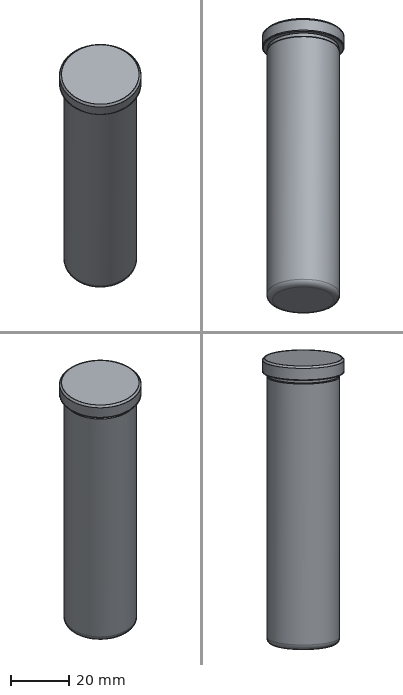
import cadquery as cq

total_length = 100.0
shank_diameter = 25.0
head_diameter = 28.0
head_height = 5.0
head_top_chamfer = 0.7
head_bottom_chamfer = 0.3
groove_width = 1.5
groove_depth = 0.3
tip_fillet = 2.0

shank_radius = shank_diameter / 2
head_radius = head_diameter / 2
groove_radius = shank_radius - groove_depth
bottom = -total_length / 2
top = total_length / 2
head_underside = top - head_height
groove_bottom = head_underside - groove_width

profile = (
    cq.Workplane("XZ")
    .moveTo(0, bottom)
    .lineTo(shank_radius - tip_fillet, bottom)
    .radiusArc((shank_radius, bottom + tip_fillet), -tip_fillet)
    .lineTo(shank_radius, groove_bottom)
    .lineTo(groove_radius, groove_bottom + groove_depth)
    .lineTo(groove_radius, head_underside)
    .lineTo(head_radius - head_bottom_chamfer, head_underside)
    .lineTo(head_radius, head_underside + head_bottom_chamfer)
    .lineTo(head_radius, top - head_top_chamfer)
    .lineTo(head_radius - head_top_chamfer, top)
    .lineTo(0, top)
    .close()
)

result = profile.revolve(360, (0, 0, 0), (0, 1, 0))